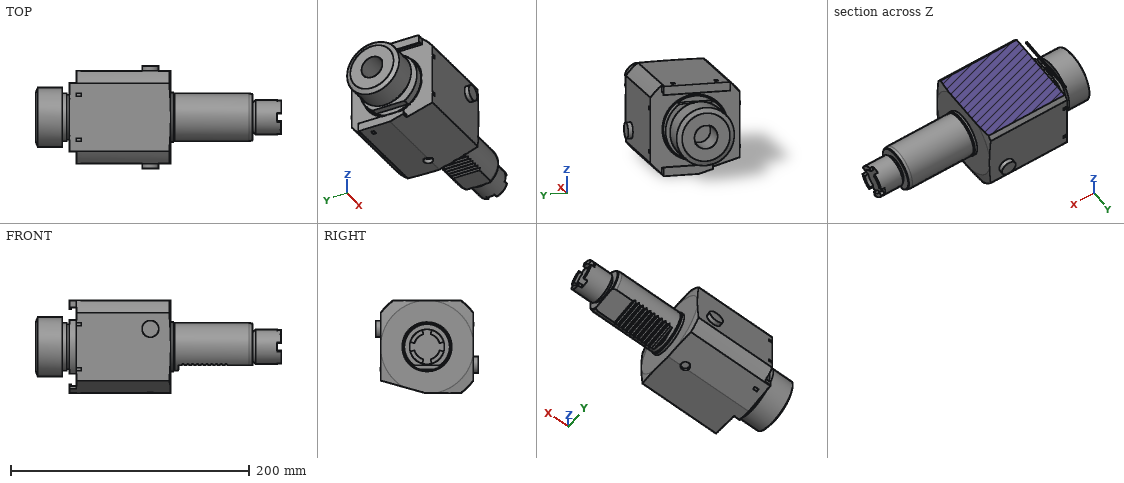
import cadquery as cq
import math

OVERLAP = 2.0

NUT_END = 22.5
NECK_END = 26.2
FLANGE_START = 28.2
KEY_START = 28.2
BODY_START = 34.2
BODY_END = 113.0
COLLAR_END = 115.3
GROOVE_BOTTOM = 116.0
GROOVE_END = 116.5
SHANK_TAPER_START = 178.8
SHANK_END = 182.0
DRIVER_CONE_END = 184.5
TOOTH_START = 202.5
TOTAL_LENGTH = 206.0

NUT_RADIUS = 25.1
NUT_FACE_RADIUS = 20.8
NUT_CHAMFER_LENGTH = 1.9
NECK_RADIUS = 20.2
UNDERCUT_RADIUS = 19.0
FLANGE_RADIUS = 27.4
FLANGE_HALF_FLAT = 22.7
RECESS_RADIUS = 28.5
RECESS_DEPTH = 1.0
BORE_RADIUS = 10.0
BORE_DEPTH = NUT_END
COLLAR_RADIUS = 20.8
GROOVE_RADIUS = 19.5
SHANK_RADIUS = 20.2
SHANK_TIP_RADIUS = 19.5
SHANK_TIP_CHAMFER = 0.6
DRIVER_CONE_RADIUS = 12.5
DRIVER_RADIUS = 14.6
TOOTH_INNER_RADIUS = 11.0
TOOTH_COUNT = 4
DRIVE_SLOT_ANGLE = 31.5
SHORT_TOOTH_GAP = 0.6

BODY_HALF = 39.0
CORNER_RADIUS = 48.2
CORNER_EDGE = math.sqrt(CORNER_RADIUS**2 - BODY_HALF**2)
CORNER_MID = CORNER_RADIUS / math.sqrt(2)
SLOPE_START_Y = -1.5
REAR_FACE_RADIUS = 39.1
REAR_CHAMFER_LENGTH = 1.2

KEY_HALF_WIDTH = 29.0
KEY_INNER_Z = 32.7
LIP_INNER_Z = 31.3
LIP_LENGTH = 1.5
KEY_BOTTOM_Y_MIN = -14.0

PIN_X = 96.2
PIN_Z = 15.0
PIN_RADIUS = 7.0
PIN_REACH = 43.0
HOLE_RADIUS = 4.1
HOLE_DEPTH = 4.1
PAD_LENGTH = 4.0
PAD_WIDTH = 2.5
PAD_HEIGHT = 0.2
PAD_OFFSET = 18.7

RACK_FLAT_START = 119.9
RACK_FLAT_Z = -15.7
RACK_SHOULDER = 1.2
RACK_FIRST_GROOVE = 123.5
RACK_SPAN = 36.0
RACK_GROOVES = 10
RACK_PITCH = RACK_SPAN / (RACK_GROOVES - 1)
RACK_GROOVE_DEPTH = 1.2
RACK_GROOVE_HALF_WIDTH = 1.6


def turned(points):
    """Revolve an (x, radius) outline about the X axis."""
    return cq.Workplane("XY").polyline(points).close().revolve(360, (0, 0, 0), (1, 0, 0))


def disc(x_start, x_end, radius):
    """Cylinder about the X axis between two X stations."""
    return cq.Workplane("YZ", origin=(x_start, 0, 0)).circle(radius).extrude(x_end - x_start)


def block(x_range, y_range, z_range):
    """Box spanning the given coordinate ranges."""
    spans = (x_range, y_range, z_range)
    sizes = [high - low for low, high in spans]
    corner = [low for low, high in spans]
    return cq.Workplane("XY").box(*sizes, centered=False).translate(tuple(corner))


def housing_prism(x_start, x_end):
    """Housing cross-section extruded between two X stations."""
    return (
        cq.Workplane("YZ", origin=(x_start, 0, 0))
        .moveTo(SLOPE_START_Y, -BODY_HALF)
        .lineTo(CORNER_EDGE, -BODY_HALF)
        .threePointArc((CORNER_MID, -CORNER_MID), (BODY_HALF, -CORNER_EDGE))
        .lineTo(BODY_HALF, CORNER_EDGE)
        .threePointArc((CORNER_MID, CORNER_MID), (CORNER_EDGE, BODY_HALF))
        .lineTo(-CORNER_EDGE, BODY_HALF)
        .threePointArc((-CORNER_MID, CORNER_MID), (-BODY_HALF, CORNER_EDGE))
        .lineTo(-BODY_HALF, -CORNER_EDGE)
        .close()
        .extrude(x_end - x_start)
    )


def housing():
    """Housing with a turned rear edge and a round recess in the front face."""
    envelope = turned([
        (BODY_START, 0),
        (BODY_START, CORNER_RADIUS + OVERLAP),
        (BODY_END - REAR_CHAMFER_LENGTH, CORNER_RADIUS + OVERLAP),
        (BODY_END - REAR_CHAMFER_LENGTH, CORNER_RADIUS),
        (BODY_END, REAR_FACE_RADIUS),
        (BODY_END, 0),
    ])
    recess = disc(BODY_START, BODY_START + RECESS_DEPTH, RECESS_RADIUS)
    return housing_prism(BODY_START, BODY_END).intersect(envelope).cut(recess)


def front_spindle():
    """Bored clamping nut, neck and flange; two wrench flats stop at a full round base."""
    x_end = BODY_START + RECESS_DEPTH + OVERLAP
    spindle = turned([
        (0, 0),
        (0, NUT_FACE_RADIUS),
        (NUT_CHAMFER_LENGTH, NUT_RADIUS),
        (NUT_END, NUT_RADIUS),
        (NUT_END, NECK_RADIUS),
        (NECK_END, NECK_RADIUS),
        (NECK_END, UNDERCUT_RADIUS),
        (x_end, UNDERCUT_RADIUS),
        (x_end, 0),
    ])
    flange = disc(FLANGE_START, BODY_START, FLANGE_RADIUS)
    flange_base = disc(BODY_START, x_end, FLANGE_RADIUS)
    flats = block(
        (FLANGE_START, BODY_START),
        (-FLANGE_RADIUS, FLANGE_RADIUS),
        (-FLANGE_HALF_FLAT, FLANGE_HALF_FLAT),
    )
    bore = disc(0, BORE_DEPTH, BORE_RADIUS)
    return spindle.union(flange.intersect(flats)).union(flange_base).cut(bore)


def key(side, y_min):
    """Lipped key on the front face, above (side = 1) or below (side = -1) the axis."""
    outline = [
        (KEY_START, BODY_HALF),
        (KEY_START, LIP_INNER_Z),
        (KEY_START + LIP_LENGTH, LIP_INNER_Z),
        (KEY_START + LIP_LENGTH, KEY_INNER_Z),
        (BODY_START, KEY_INNER_Z),
        (BODY_START, BODY_HALF),
    ]
    bar = (
        cq.Workplane("XZ", origin=(0, KEY_HALF_WIDTH, 0))
        .polyline([(x, side * z) for x, z in outline])
        .close()
        .extrude(KEY_HALF_WIDTH - y_min)
    )
    return bar.intersect(housing_prism(KEY_START, BODY_START))


def shank():
    """Collar, relief groove and cylindrical shank with a tapered tip."""
    return turned([
        (BODY_END - OVERLAP, 0),
        (BODY_END - OVERLAP, COLLAR_RADIUS),
        (COLLAR_END, COLLAR_RADIUS),
        (GROOVE_BOTTOM, GROOVE_RADIUS),
        (GROOVE_END, SHANK_RADIUS),
        (SHANK_TAPER_START, SHANK_RADIUS),
        (SHANK_END - SHANK_TIP_CHAMFER, SHANK_TIP_RADIUS),
        (SHANK_END, SHANK_TIP_RADIUS - SHANK_TIP_CHAMFER),
        (SHANK_END, 0),
    ])


def rack_cutter():
    """Flat under the shank, with a sloped shoulder, together with its row of V grooves."""
    outline = [
        (SHANK_END, -COLLAR_RADIUS),
        (RACK_FLAT_START - RACK_SHOULDER, -COLLAR_RADIUS),
        (RACK_FLAT_START, RACK_SHOULDER - SHANK_RADIUS),
        (RACK_FLAT_START, RACK_FLAT_Z),
    ]
    for index in range(RACK_GROOVES):
        x = RACK_FIRST_GROOVE + index * RACK_PITCH
        outline += [
            (x - RACK_GROOVE_HALF_WIDTH, RACK_FLAT_Z),
            (x, RACK_FLAT_Z + RACK_GROOVE_DEPTH),
            (x + RACK_GROOVE_HALF_WIDTH, RACK_FLAT_Z),
        ]
    outline.append((SHANK_END, RACK_FLAT_Z))
    return cq.Workplane("XZ").polyline(outline).close().extrude(SHANK_RADIUS, both=True)


def driver():
    """Hollow drive end with four teeth, one of them slightly shorter."""
    body = turned([
        (SHANK_END, 0),
        (SHANK_END, DRIVER_CONE_RADIUS),
        (DRIVER_CONE_END, DRIVER_RADIUS),
        (TOTAL_LENGTH, DRIVER_RADIUS),
        (TOTAL_LENGTH, TOOTH_INNER_RADIUS),
        (TOOTH_START, TOOTH_INNER_RADIUS),
        (TOOTH_START, 0),
    ])
    reach = 2 * DRIVER_RADIUS
    half_opening = reach * math.tan(math.radians(DRIVE_SLOT_ANGLE / 2))
    wedge = (
        cq.Workplane("YZ", origin=(TOOTH_START, 0, 0))
        .polyline([(0, 0), (reach, -half_opening), (reach, half_opening)])
        .close()
        .extrude(TOTAL_LENGTH - TOOTH_START)
    )
    for turn in range(TOOTH_COUNT):
        body = body.cut(wedge.rotate((0, 0, 0), (1, 0, 0), turn * 360 / TOOTH_COUNT))
    short_tooth_trim = block(
        (TOTAL_LENGTH - SHORT_TOOTH_GAP, TOTAL_LENGTH),
        (-DRIVER_RADIUS, 0),
        (0, DRIVER_RADIUS),
    )
    return body.cut(short_tooth_trim)


def side_pin(side):
    """Pin standing out of one Y face; the two pins sit at opposite heights."""
    return (
        cq.Workplane("XZ", origin=(PIN_X, 0, -side * PIN_Z))
        .circle(PIN_RADIUS)
        .extrude(-side * (PIN_REACH - BODY_HALF))
        .translate((0, side * BODY_HALF, 0))
    )


def rim_pads():
    """Thin pads beside the front edge: two on the top and on each side, one underneath."""
    along = (BODY_START, BODY_START + PAD_LENGTH)
    positive_side = (BODY_HALF - OVERLAP, BODY_HALF + PAD_HEIGHT)
    negative_side = (-BODY_HALF - PAD_HEIGHT, OVERLAP - BODY_HALF)
    low_band = (-PAD_OFFSET - PAD_WIDTH / 2, -PAD_OFFSET + PAD_WIDTH / 2)
    high_band = (PAD_OFFSET - PAD_WIDTH / 2, PAD_OFFSET + PAD_WIDTH / 2)
    pads = block(along, high_band, negative_side)
    for band in (low_band, high_band):
        pads = pads.union(block(along, band, positive_side))
        pads = pads.union(block(along, positive_side, band))
        pads = pads.union(block(along, negative_side, band))
    return pads


bottom_hole = cq.Workplane("XY", origin=(PIN_X, 0, -BODY_HALF)).circle(HOLE_RADIUS).extrude(HOLE_DEPTH)

result = housing().cut(bottom_hole)
result = result.union(front_spindle())
result = result.union(key(1, -KEY_HALF_WIDTH))
result = result.union(key(-1, KEY_BOTTOM_Y_MIN))
result = result.union(shank().cut(rack_cutter()))
result = result.union(driver())
result = result.union(side_pin(1)).union(side_pin(-1))
result = result.union(rim_pads())